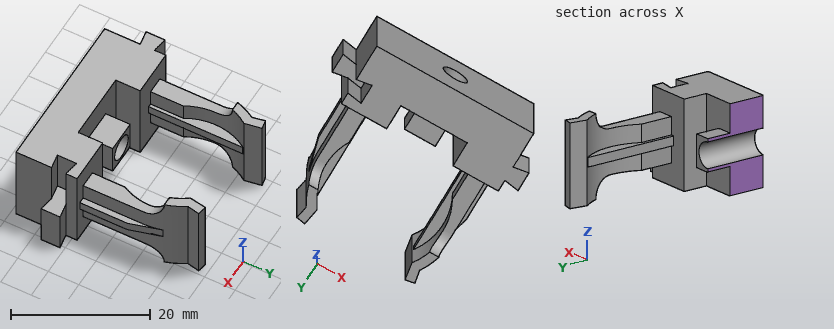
import cadquery as cq

total_width = 30.8
block_width = 26.0
block_depth = 10.0
block_height = 14.0
notch_width = 11.0
notch_floor_y = 6.0
boss_size = 5.1
hole_diameter = 4.0

dovetail_reach = (total_width - block_width) / 2
dovetail_y = 7.0
dovetail_neck = 2.35
dovetail_end = 3.1

arm_outer_x = 11.25
arm_root_inner_x = 8.53
arm_waist_inner_x = 9.73
arm_bow_start_y = 15.37
arm_waist_y = 20.02
lip_inner = (7.85, 25.65)
lip_outer = (9.4, 26.12)
tip_inner = (8.32, 28.4)
tip_outer = (9.8, 28.12)
outer_bow_middle = (10.72, 23.22)

shank_height = 7.02
head_height = 13.0
flare_radius = (head_height - shank_height) / 2

rib_height = 1.45
rib_outer_x = 12.23
rib_inner_x = 7.98
rib_taper_start_y = 17.77
rib_outer_end = (10.85, 22.85)
rib_inner_end_y = 25.4


def block_from_y(width, height, start_y, end_y):
    """Box centred on X and Z, spanning start_y to end_y."""
    return cq.Workplane("XY").box(width, end_y - start_y, height).translate((0, (start_y + end_y) / 2, 0))


def extrude_about_middle(outline, height):
    return outline.extrude(height / 2, both=True)


def mirror_pair(right_half):
    return right_half.union(right_half.mirror("YZ"))


def dovetail(neck_x, end_x, bottom_z):
    """Half-height dovetail prism, narrow at neck_x and wide at end_x."""
    return (
        cq.Workplane("XY", origin=(0, 0, bottom_z))
        .moveTo(neck_x, dovetail_y - dovetail_neck / 2)
        .lineTo(end_x, dovetail_y - dovetail_end / 2)
        .lineTo(end_x, dovetail_y + dovetail_end / 2)
        .lineTo(neck_x, dovetail_y + dovetail_neck / 2)
        .close()
        .extrude(block_height / 2)
    )


def make_block():
    block = block_from_y(block_width, block_height, 0, block_depth)
    block = block.cut(block_from_y(notch_width, block_height, notch_floor_y, block_depth))
    block = block.union(block_from_y(boss_size, boss_size, notch_floor_y, block_depth))
    hole = cq.Workplane("XZ").circle(hole_diameter / 2).extrude(-block_depth)
    block = block.cut(hole)

    for side, lug_bottom, slot_bottom in ((-1, 0, -block_height / 2), (1, -block_height / 2, 0)):
        face_x = side * block_width / 2
        reach = side * dovetail_reach
        block = block.cut(dovetail(face_x, face_x - reach, slot_bottom))
        block = block.union(dovetail(face_x, face_x + reach, lug_bottom))
    return block


def make_arm_plate():
    section = (
        cq.Workplane("XY")
        .moveTo(arm_outer_x, block_depth)
        .lineTo(arm_outer_x, arm_waist_y)
        .threePointArc(outer_bow_middle, lip_outer)
        .lineTo(*tip_outer)
        .lineTo(*tip_inner)
        .lineTo(*lip_inner)
        .threePointArc((arm_waist_inner_x, arm_waist_y), (arm_root_inner_x, arm_bow_start_y))
        .lineTo(arm_root_inner_x, block_depth)
        .close()
    )
    plate = extrude_about_middle(section, head_height)

    for side in (-1, 1):
        clearance = (
            cq.Workplane("YZ")
            .moveTo(block_depth, side * shank_height / 2)
            .lineTo(arm_waist_y, side * shank_height / 2)
            .radiusArc((arm_waist_y + flare_radius, side * head_height / 2), -side * flare_radius)
            .lineTo(block_depth, side * head_height / 2)
            .close()
            .extrude(block_width / 2)
        )
        plate = plate.cut(clearance)
    return plate


def make_rib():
    outline = (
        cq.Workplane("XY")
        .moveTo(rib_inner_x, block_depth)
        .lineTo(rib_outer_x, block_depth)
        .lineTo(rib_outer_x, rib_taper_start_y)
        .lineTo(*rib_outer_end)
        .lineTo(rib_inner_x, rib_inner_end_y)
        .close()
    )
    return extrude_about_middle(outline, rib_height)


arm = make_arm_plate().union(make_rib())
result = make_block().union(mirror_pair(arm))